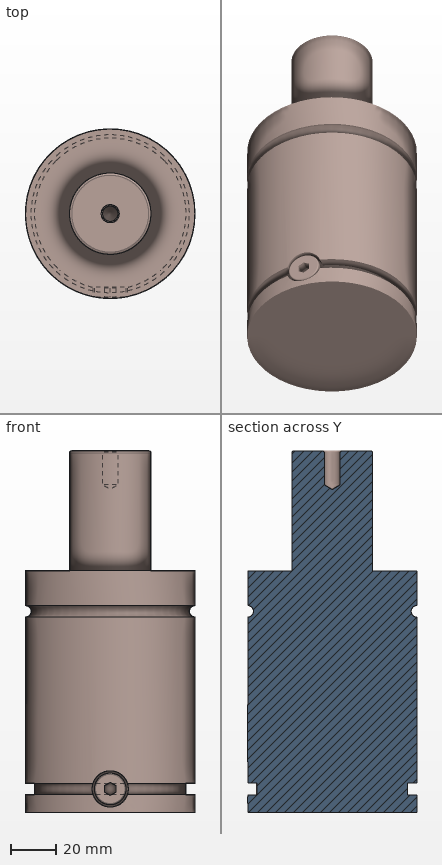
import cadquery as cq
import math

body_radius = 37.5
body_height = 107.0

rod_radius = 18.0
total_height = 160.0
rod_edge_radius = 1.0

round_groove_radius = 2.5
round_groove_height = 89.0

base_groove_bottom = 8.0
base_groove_width = 5.0
base_groove_floor_radius = 33.5

rod_hole_radius = 3.4
rod_hole_depth = 15.0
rod_hole_chamfer = 0.6
drill_tip_angle = 118.0
drill_tip_depth = rod_hole_radius / math.tan(math.radians(drill_tip_angle / 2))

plug_height = base_groove_bottom + base_groove_width / 2
seat_radius = 8.0
seat_floor_distance = 32.5
plug_radius = 7.0
plug_edge_radius = 0.5
plug_face_distance = 36.9
hex_across_flats = 5.0
hex_depth = 4.0


def plug_plane(distance):
    """Sketch plane facing -Y at the plug's axis, a given distance from the body axis."""
    return cq.Workplane("XZ", origin=(0, -distance, plug_height))


def make_body():
    body = cq.Workplane("XY").circle(body_radius).extrude(body_height)
    round_groove = (
        cq.Workplane("XZ")
        .center(body_radius, round_groove_height)
        .circle(round_groove_radius)
        .revolve(360, (-body_radius, 0), (-body_radius, 1))
    )
    base_groove = (
        cq.Workplane("XY", origin=(0, 0, base_groove_bottom))
        .circle(body_radius)
        .circle(base_groove_floor_radius)
        .extrude(base_groove_width)
    )
    return body.cut(round_groove).cut(base_groove)


def make_rod():
    rod = cq.Workplane("XY").circle(rod_radius).extrude(total_height)
    return rod.faces(">Z").edges().fillet(rod_edge_radius)


def make_rod_hole():
    profile = [
        (0, total_height),
        (rod_hole_radius + rod_hole_chamfer, total_height),
        (rod_hole_radius, total_height - rod_hole_chamfer),
        (rod_hole_radius, total_height - rod_hole_depth),
        (0, total_height - rod_hole_depth - drill_tip_depth),
    ]
    return cq.Workplane("XZ").polyline(profile).close().revolve(360, (0, 0), (0, 1))


def add_plug(part):
    """Sink the seat and stand the plug in it, leaving a narrow ring-shaped gap."""
    seat_depth = body_radius - seat_floor_distance
    seat = plug_plane(seat_floor_distance).circle(seat_radius).extrude(seat_depth)
    plug = (
        plug_plane(seat_floor_distance)
        .circle(plug_radius)
        .extrude(plug_face_distance - seat_floor_distance)
        .faces("<Y")
        .edges()
        .fillet(plug_edge_radius)
    )
    hexagon = (
        plug_plane(plug_face_distance)
        .polygon(6, hex_across_flats, circumscribed=True)
        .extrude(-hex_depth)
    )
    return part.cut(seat).union(plug).cut(hexagon)


result = add_plug(make_body().union(make_rod()).cut(make_rod_hole()))